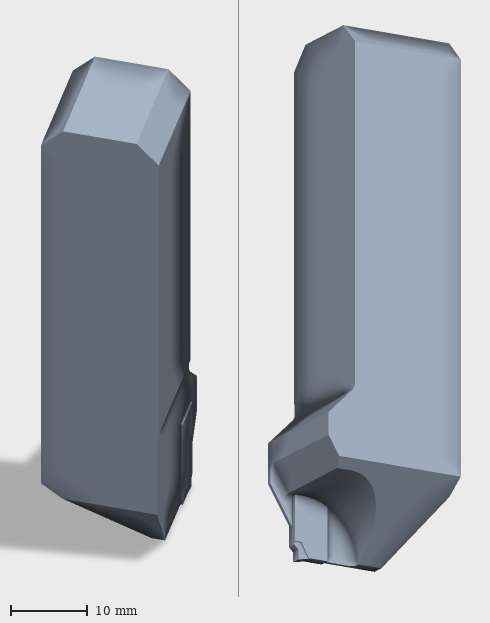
import cadquery as cq

height = 70.0
shank_width = 15.95
shank_depth = 15.95
top_chamfer = 3.0

head_depth = 19.95
head_face_x = 15.75
head_face_top_z = 21.55
neck_z = 19.6
neck_fillet = 1.4
bottom_z = 0.5

slope_start_z = 9.9
slope_end_x = 13.9

heel_y = 3.9
heel_z = 7.9

nose_z = 9.95
nose_slope = 1.65

pocket_floor_x = 15.2
pocket_radius = 8.25
pocket_centre_y = 15.6
pocket_nose_z = 12.5
pocket_fillet = 0.8

tip_back_x = 14.4
tip_front_x = 16.0
tip_min_y = 11.75
tip_max_y = 16.65
tip_top_z = 13.9
tip_heel_z = 0.35
edge_y = 16.0
edge_inner_y = 14.4
edge_shoulder_z = 1.3
edge_chamfer = tip_max_y - edge_y
relief_depth = 0.2
relief_top_z = 2.4
relief_top_y = 15.7

clearance = 3.5


def make_blank():
    """Side outline with flared head, heel bevel and nose bevel, extruded across X."""
    flare = head_depth - shank_depth
    nose_inner_y = head_depth - (nose_z - bottom_z) / nose_slope
    return (
        cq.Workplane("YZ")
        .moveTo(0, height)
        .lineTo(0, heel_z)
        .lineTo(heel_y, bottom_z)
        .lineTo(nose_inner_y, bottom_z)
        .lineTo(head_depth, nose_z)
        .lineTo(head_depth, neck_z - flare)
        .lineTo(shank_depth, neck_z)
        .lineTo(shank_depth, height)
        .close()
        .extrude(shank_width)
        .edges(cq.selectors.NearestToPointSelector((shank_width / 2, shank_depth, neck_z)))
        .fillet(neck_fillet)
    )


def make_front_envelope():
    """Front outline with top chamfers, underside slope and stepped +X face."""
    return (
        cq.Workplane("XZ")
        .moveTo(0, slope_start_z)
        .lineTo(slope_end_x, bottom_z)
        .lineTo(head_face_x, bottom_z)
        .lineTo(head_face_x, head_face_top_z)
        .lineTo(shank_width, head_face_top_z)
        .lineTo(shank_width, height - top_chamfer)
        .lineTo(shank_width - top_chamfer, height)
        .lineTo(top_chamfer, height)
        .lineTo(0, height - top_chamfer)
        .close()
        .extrude(-head_depth)
    )


def make_pocket_cutter():
    """Pocket with a quarter-round corner, a flat roof, a side along the nose and a filleted floor."""
    roof_z = bottom_z + pocket_radius
    roof_end_y = head_depth - (pocket_nose_z - roof_z) / nose_slope
    outer_y = head_depth + clearance
    outer_z = pocket_nose_z + clearance * nose_slope
    low_z = bottom_z - clearance
    return (
        cq.Workplane("YZ")
        .moveTo(outer_y, low_z)
        .lineTo(outer_y, outer_z)
        .lineTo(roof_end_y, roof_z)
        .lineTo(pocket_centre_y, roof_z)
        .radiusArc((pocket_centre_y - pocket_radius, bottom_z), -pocket_radius)
        .lineTo(pocket_centre_y - pocket_radius, low_z)
        .close()
        .extrude(pocket_floor_x)
        .faces(">X").edges()
        .fillet(pocket_fillet)
    )


def make_tip():
    """Flat bar with a narrow cutting edge at its lower corner, thinned behind that edge."""
    tip = (
        cq.Workplane("YZ", origin=(tip_back_x, 0, 0))
        .moveTo(tip_min_y, tip_top_z)
        .lineTo(tip_min_y, tip_heel_z)
        .lineTo(edge_inner_y, tip_heel_z)
        .lineTo(edge_y, 0)
        .lineTo(edge_y, edge_shoulder_z)
        .lineTo(tip_max_y, edge_shoulder_z + edge_chamfer)
        .lineTo(tip_max_y, tip_top_z)
        .close()
        .extrude(tip_front_x - tip_back_x)
    )
    relief = (
        cq.Workplane("YZ", origin=(tip_back_x, 0, 0))
        .moveTo(edge_inner_y, 0)
        .lineTo(relief_top_y, relief_top_z)
        .lineTo(tip_max_y, relief_top_z)
        .lineTo(tip_max_y, 0)
        .close()
        .extrude(relief_depth)
    )
    return tip.cut(relief)


tip = make_tip()
holder = (
    make_blank()
    .intersect(make_front_envelope())
    .cut(make_pocket_cutter())
    .cut(tip)
)

result = cq.Compound.makeCompound([*holder.solids().vals(), *tip.solids().vals()])